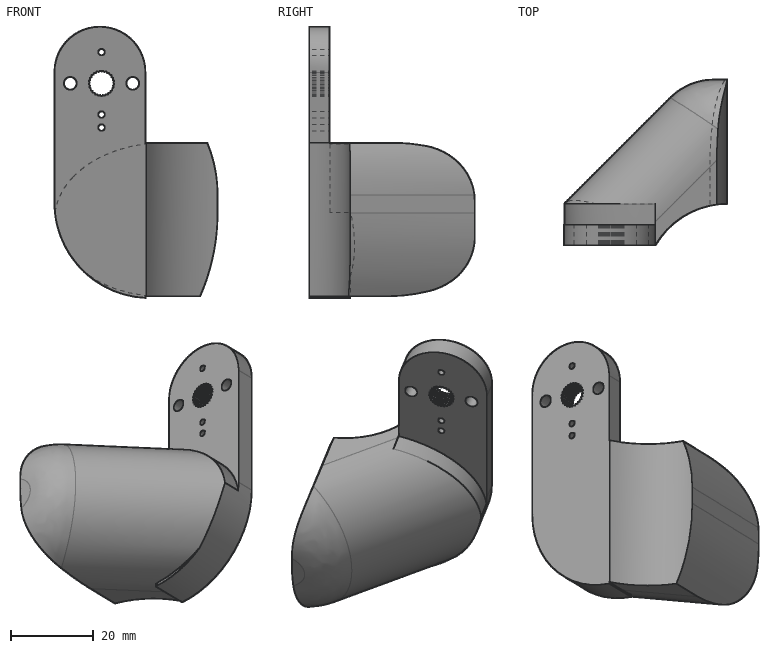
import cadquery as cq
import math

height = 65.45
plate_width = 22.0
plate_thickness = 5.0
heel_radius = 23.1
heel_z = math.sqrt(heel_radius**2 - (heel_radius - plate_width) ** 2)

shaft_x = 11.4
shaft_z = 51.8
screw_diameter = 3.0
pin_diameter = 1.5
hole_spacing = 7.5
low_pin_drop = 10.7
spline_teeth = 25
spline_root_radius = 3.1
spline_tip_radius = 2.8

pod_depth = 40.0
pod_width = 39.4
pod_radius = 18.5
pod_axis_z = 18.9
pod_top = pod_axis_z + pod_radius
step_depth = 2 * plate_thickness
nose_fillet = 15.0
oblique_radius = pod_radius * math.sqrt(2)

wall_upper_radius = 32.7
wall_lower_radius = 50.4
wall_upright_bottom = 20.6
wall_upright_top = 24.9

hollow_radius = 19.95

oversize = 1.5 * height


def extrude_back(sketch, depth):
    """Extrude an XZ sketch from Y = 0 towards +Y, against its plane's normal."""
    return sketch.extrude(-depth)


def start_heel():
    """Outline begun with the heel, from the lower right of the plate to its left edge."""
    diagonal = heel_radius * math.sqrt(0.5)
    return (
        cq.Workplane("XZ")
        .moveTo(plate_width, 0)
        .threePointArc((heel_radius - diagonal, heel_z - diagonal), (0, heel_z))
    )


def make_plate():
    cap_radius = plate_width / 2
    cap_z = height - cap_radius
    outline = (
        start_heel()
        .lineTo(0, cap_z)
        .threePointArc((cap_radius, height), (plate_width, cap_z))
        .close()
    )
    return extrude_back(outline, plate_thickness)


def make_nosed_bar():
    """45 degree bar with a round left side, ended by a filleted face at the back."""
    bar_plane = cq.Plane(
        origin=(oblique_radius, step_depth, pod_axis_z), xDir=(-1, 1, 0), normal=(1, 1, 0)
    )
    bar = (
        cq.Workplane(bar_plane)
        .moveTo(-oversize, -pod_radius)
        .lineTo(0, -pod_radius)
        .threePointArc((pod_radius, 0), (0, pod_radius))
        .lineTo(-oversize, pod_radius)
        .close()
        .extrude(oversize, both=True)
    )
    room = cq.Workplane().box(height, pod_depth, height, centered=False)
    return bar.intersect(room).faces(">Y").edges("not |Z").fillet(nose_fillet)


def make_step():
    """Straight block behind the plate, rounded like the oblique section of the bar."""
    section = extrude_back(
        cq.Workplane("XZ").center(oblique_radius, pod_axis_z).ellipse(oblique_radius, pod_radius),
        step_depth,
    )
    lower = extrude_back(cq.Workplane("XZ").rect(plate_width, pod_axis_z, centered=False), step_depth)
    strip = extrude_back(cq.Workplane("XZ").rect(plate_width, height, centered=False), step_depth)
    return section.union(lower).intersect(strip)


def make_wall_envelope():
    """Everything left of the curved right wall of the pod."""

    def wall_x(radius, rise):
        return pod_width - radius + math.sqrt(radius**2 - rise**2)

    upper_rise = pod_top - wall_upright_top
    lower_drop = wall_upright_bottom
    return extrude_back(
        cq.Workplane("XZ")
        .lineTo(wall_x(wall_lower_radius, lower_drop), 0)
        .threePointArc(
            (wall_x(wall_lower_radius, lower_drop / 2), wall_upright_bottom - lower_drop / 2),
            (pod_width, wall_upright_bottom),
        )
        .lineTo(pod_width, wall_upright_top)
        .threePointArc(
            (wall_x(wall_upper_radius, upper_rise / 2), wall_upright_top + upper_rise / 2),
            (wall_x(wall_upper_radius, upper_rise), pod_top),
        )
        .lineTo(0, pod_top)
        .close(),
        pod_depth,
    )


def make_pod():
    step_room = cq.Workplane().box(plate_width, step_depth, height, centered=False)
    heel_envelope = extrude_back(
        start_heel()
        .lineTo(0, pod_top)
        .lineTo(pod_width, pod_top)
        .lineTo(pod_width, 0)
        .close(),
        pod_depth,
    )
    hollow = (
        cq.Workplane()
        .center(pod_width, step_depth - hollow_radius)
        .circle(hollow_radius)
        .extrude(height)
    )
    pod = make_nosed_bar().cut(step_room).union(make_step())
    return pod.intersect(heel_envelope).intersect(make_wall_envelope()).cut(hollow)


def round_hole(x_offset, z_offset, diameter):
    sketch = cq.Workplane("XZ").center(shaft_x + x_offset, shaft_z + z_offset).circle(diameter / 2)
    return extrude_back(sketch, plate_thickness)


def spline_hole():
    """Toothed bore: points alternate between tooth tips and roots, a tip uppermost."""
    points = []
    for i in range(2 * spline_teeth):
        radius = spline_root_radius if i % 2 else spline_tip_radius
        angle = math.pi / 2 + math.pi * i / spline_teeth
        points.append((radius * math.cos(angle), radius * math.sin(angle)))
    sketch = cq.Workplane("XZ").center(shaft_x, shaft_z).polyline(points).close()
    return extrude_back(sketch, plate_thickness)


result = make_plate().union(make_pod()).cut(spline_hole())
for side in (-1, 1):
    result = result.cut(round_hole(side * hole_spacing, 0, screw_diameter))
for z_offset in (hole_spacing, -hole_spacing, -low_pin_drop):
    result = result.cut(round_hole(0, z_offset, pin_diameter))